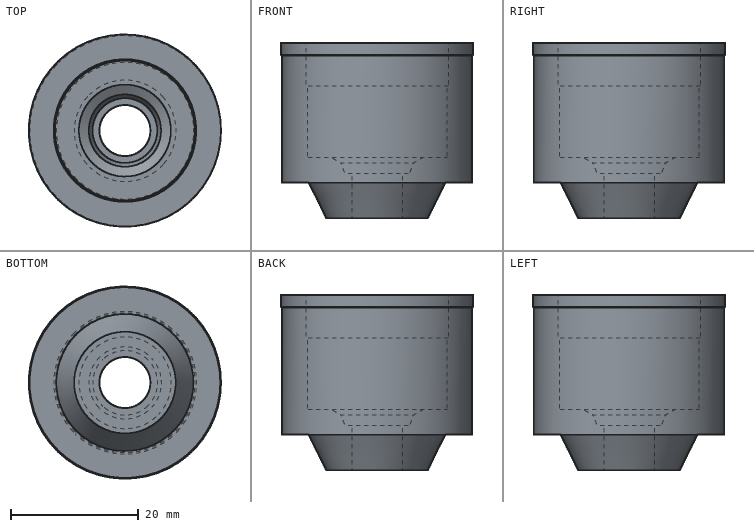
import cadquery as cq
import math

flange_radius = 15.15
body_radius = 15.0
nose_root_radius = 10.8
nose_tip_radius = 8.0

entry_radius = 11.25
bore_radius = 11.0
funnel_top_radius = 7.25
funnel_bottom_radius = 5.7
seat_radius = 5.1
outlet_radius = 4.0

total_height = 27.6
nose_height = 5.6
flange_height = 2.0
flange_taper_height = flange_radius - body_radius
entry_depth = 6.8
floor_thickness = body_radius - bore_radius

funnel_half_angle = math.radians(60)
throat_half_angle = math.radians(20)


def cone_height(large_radius, small_radius, half_angle):
    """Height of a truncated cone between two radii."""
    return (large_radius - small_radius) / math.tan(half_angle)


flange_underside = total_height - flange_height
flange_rim_bottom = flange_underside + flange_taper_height
entry_ledge = total_height - entry_depth
bore_floor = nose_height + floor_thickness
funnel_bottom = bore_floor - cone_height(funnel_top_radius, funnel_bottom_radius, funnel_half_angle)
seat_level = funnel_bottom - cone_height(funnel_bottom_radius, seat_radius, throat_half_angle)

half_section = (
    cq.Workplane("XZ")
    .moveTo(outlet_radius, 0)
    .lineTo(nose_tip_radius, 0)
    .lineTo(nose_root_radius, nose_height)
    .lineTo(body_radius, nose_height)
    .lineTo(body_radius, flange_underside)
    .lineTo(flange_radius, flange_rim_bottom)
    .lineTo(flange_radius, total_height)
    .lineTo(entry_radius, total_height)
    .lineTo(entry_radius, entry_ledge)
    .lineTo(bore_radius, entry_ledge)
    .lineTo(bore_radius, bore_floor)
    .lineTo(funnel_top_radius, bore_floor)
    .lineTo(funnel_bottom_radius, funnel_bottom)
    .lineTo(seat_radius, seat_level)
    .lineTo(outlet_radius, seat_level)
    .close()
)

result = half_section.revolve(360, (0, 0, 0), (0, 1, 0))